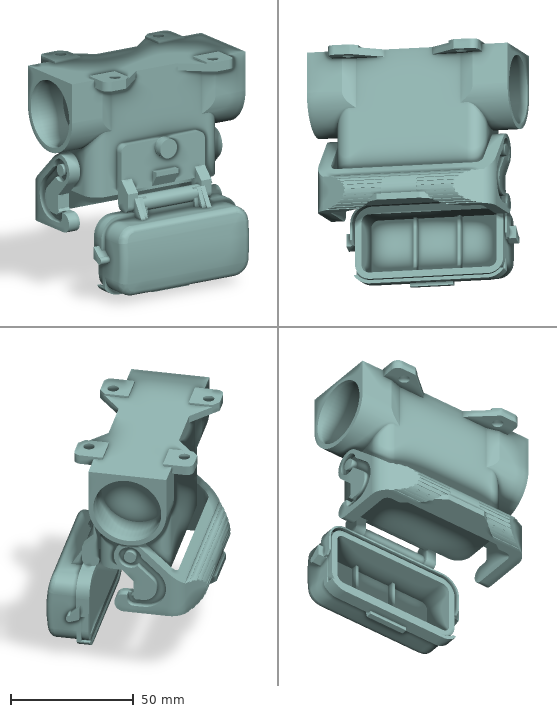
import cadquery as cq
import math


tunnel_length = 85.0
tunnel_radius = 16.25
bore_radius = 14.1
bore_depth = 15.8
tunnel_axis_z = -16.5
housing_half_x = 14.7
housing_half_y = 31.5
housing_bottom = -51.1
housing_corner = 6.5
waist_half_y = 22.1
waist_run_out_y = 27.7

foot_outer_x = 24.9
foot_outer_y = 31.8
foot_inner_x = 12.5
foot_inner_y = 19.1
foot_bevel_y = 22.0
foot_corner = 3.1
foot_top = 0.9
flange_bottom = -3.1
flange_waist_y = 10.0
mount_hole_x = 19.9
mount_hole_y = 24.0
mount_hole_radius = 2.3

pivot_z = -41.3
pivot_radius = 2.5
pivot_eye_radius = 6.7
pivot_boss_radius = 3.3
lever_half_y = 37.5
lever_inner_y = 32.2
lever_inner_x = -18.6
lever_inner_corner = 2.8
lever_slope = math.radians(42.5)
lever_corner = 7.6
lever_corner_x = -16.0
grip_radius = 7.1
grip_x = -22.2
grip_z = -60.0
grip_side_angle = math.radians(58.5)
hook_x = 2.5
hook_radius = 4.0
slot_x = -1.5
slot_chamfer = 0.9
lever_bottom = grip_z - grip_radius
slot_floor = lever_bottom + 2 * hook_radius

channel_depth = 2.6
channel_eye_radius = 4.8
outer_bend_x = -5.6
outer_bend_z = -54.4
outer_bend_radius = 9.5
inner_bend_x = -5.2
inner_bend_z = -54.8
inner_bend_radius = 5.9
channel_end_x = 1.2
channel_end_radius = 2.8

groove_depth = 0.3
groove_pitch = math.radians(15)
groove_count = 11
plate_half_y = 7.4
plate_top = -55.8
tab_top = -62.4
tab_bottom = -65
tab_x = -30.2
tab_half_y = 9.1
tab_slope = 1.4

cover_y = 0.5
hinge_half_y = 20.4
cheek_inner_y = 15.5
barrel_x = 21.2
barrel_z = -54.0
barrel_radius = 3.3
hinge_lip_bottom = -50.8
stop_half_y = 5.5
stop_end_x = 21.8
stop_top = -42.25
stop_edge_z = -44.1
hinge_face_x = 18.7
hinge_top = -29.3
hinge_top_corner = 3.1
hinge_heel_x = 16.25
hinge_heel_z = -48.7
hinge_toe_x = 23.5
hinge_bottom = -57.1
hinge_toe_radius = 3.0
screw_z = -32.8
screw_radius = 4.1
washer_radius = 4.2
washer_end_x = 19.6
screw_end_x = 22.75

cover_half_y = 31.6
cover_top = -59.05
cover_bottom = -88.5
cover_corner = 6.5
cover_back_x = 34.5
cover_bulge = 1.95
cover_back_fillet = 2.8
rim_front_x = 18.4
rim_step_x = 21.45
rim_back_x = 23.3
hood_front_x = 17.7
hood_half_y = 33.2
hood_wall = 0.8
hood_top = -57.2
hood_end = -74.0
hood_side_end = -72.1
hood_corner = 8.4
cavity_half_y = 28.6
cavity_corner = 3.25
cover_wall = 2.7
cover_back_wall = 3.4
lip_bottom = -90.4
lip_thickness = 1.4
lip_top = -86.6
cover_rib_y = 9.3
cover_rib_width = 1.3
cover_rib_height = 2.8
pull_half_y = 9.1
pull_bottom = -91.9
pull_front_x = 21.6
pull_back_x = 24.8
pull_taper = 0.65
lug_half_y = 35.9
lug_top = -68.9
lug_tip_x = 26.9
lug_tip_z = -74.0
lug_tip_radius = 1.5
rim_inset = 0.2
ear_top = -51.1
ear_steps = [
    (17.2, 15.1, 28.5),
    (15.1, 13.3, 27.6),
    (13.3, 11.5, 25.1),
]


def box(x0, x1, y0, y1, z0, z1):
    return cq.Workplane("XY").box(x1 - x0, y1 - y0, z1 - z0, centered=False).translate((x0, y0, z0))


def side_plane(y):
    """XZ sketch plane at y; extruding from it runs toward -Y."""
    return cq.Workplane("XZ", origin=(0, y, 0))


def both_sides(solid, plane="XZ"):
    return solid.union(solid.mirror(plane))


def rounded_block(x0, x1, half_y, z0, z1, radius):
    """Block along X whose four long edges are rounded, centred on the cover."""
    return box(x0, x1, cover_y - half_y, cover_y + half_y, z0, z1).edges("|X").fillet(radius)


def make_housing():
    tunnel = (
        side_plane(tunnel_length / 2)
        .moveTo(-tunnel_radius, 0)
        .lineTo(-tunnel_radius, tunnel_axis_z)
        .threePointArc((0, tunnel_axis_z - tunnel_radius), (tunnel_radius, tunnel_axis_z))
        .lineTo(tunnel_radius, 0)
        .close()
        .extrude(tunnel_length)
    )
    waist_depth = tunnel_radius - housing_half_x
    waist = (
        cq.Workplane("XY")
        .polyline([
            (-tunnel_radius, -waist_run_out_y),
            (-tunnel_radius + waist_depth, -waist_half_y),
            (-tunnel_radius + waist_depth, waist_half_y),
            (-tunnel_radius, waist_run_out_y),
        ])
        .close()
        .extrude(tunnel_axis_z - tunnel_radius)
    )
    tunnel = tunnel.cut(both_sides(waist, "YZ"))
    shell = box(
        -housing_half_x, housing_half_x,
        -housing_half_y, housing_half_y,
        housing_bottom, tunnel_axis_z,
    )
    shell = shell.edges("|Z").fillet(housing_corner)
    bore = side_plane(tunnel_length / 2).center(0, tunnel_axis_z).circle(bore_radius).extrude(bore_depth)
    return tunnel.union(shell).union(make_feet()).cut(both_sides(bore))


def make_feet():
    bevel_slope = (foot_bevel_y - flange_waist_y) / (foot_outer_x - housing_half_x)
    bevel_end_x = foot_outer_x - (foot_bevel_y - foot_inner_y) / bevel_slope
    foot = (
        cq.Workplane("XY", origin=(0, 0, flange_bottom))
        .moveTo(foot_inner_x, foot_inner_y)
        .lineTo(bevel_end_x, foot_inner_y)
        .lineTo(foot_outer_x, foot_bevel_y)
        .lineTo(foot_outer_x, foot_outer_y - foot_corner)
        .radiusArc((foot_outer_x - foot_corner, foot_outer_y), -foot_corner)
        .lineTo(foot_inner_x, foot_outer_y)
        .close()
        .extrude(foot_top - flange_bottom)
    )
    web = (
        cq.Workplane("XY", origin=(0, 0, flange_bottom))
        .polyline([
            (foot_inner_x, flange_waist_y),
            (housing_half_x, flange_waist_y),
            (bevel_end_x, foot_inner_y),
            (foot_inner_x, foot_inner_y),
        ])
        .close()
        .extrude(-flange_bottom)
    )
    hole = (
        cq.Workplane("XY", origin=(mount_hole_x, mount_hole_y, flange_bottom))
        .circle(mount_hole_radius)
        .extrude(foot_top - flange_bottom)
    )
    foot = foot.union(web).cut(hole)
    return both_sides(both_sides(foot), "YZ")


def lever_side_profile():
    """Arms, hook and grip seen along Y, as a solid across the full lever width."""
    width = 2 * lever_half_y
    eye_top_x = -pivot_eye_radius * math.sin(lever_slope)
    eye_top_z = pivot_z + pivot_eye_radius * math.cos(lever_slope)
    eye_low = pivot_eye_radius * math.sqrt(0.5)
    throat_z = pivot_z - eye_low - (eye_low - slot_x)
    arm = (
        side_plane(lever_half_y)
        .moveTo(eye_top_x, eye_top_z)
        .lineTo(grip_x, eye_top_z + (grip_x - eye_top_x) * math.tan(lever_slope))
        .lineTo(grip_x, lever_bottom)
        .lineTo(hook_x, lever_bottom)
        .threePointArc((hook_x + hook_radius, lever_bottom + hook_radius), (hook_x, slot_floor))
        .lineTo(slot_x + slot_chamfer, slot_floor)
        .lineTo(slot_x, slot_floor + slot_chamfer)
        .lineTo(slot_x, throat_z)
        .lineTo(eye_low, pivot_z - eye_low)
        .threePointArc((pivot_eye_radius, pivot_z), (eye_top_x, eye_top_z))
        .close()
        .extrude(width)
    )
    grip = side_plane(lever_half_y).center(grip_x, grip_z).circle(grip_radius).extrude(width)
    return arm.union(grip)


def lever_plan():
    """Lever outline seen along Z: rounded corners running into slanted grip ends."""
    center_y = lever_half_y - lever_corner
    tangent_x = lever_corner_x - lever_corner * math.sin(grip_side_angle)
    tangent_y = center_y + lever_corner * math.cos(grip_side_angle)
    mid_x = lever_corner_x - lever_corner * math.sin(grip_side_angle / 2)
    mid_y = center_y + lever_corner * math.cos(grip_side_angle / 2)
    end_x = grip_x - grip_radius
    end_y = tangent_y - (tangent_x - end_x) * math.tan(grip_side_angle)
    half = (
        cq.Workplane("XY", origin=(0, 0, lever_bottom))
        .moveTo(hook_x + 2 * hook_radius, 0)
        .lineTo(hook_x + 2 * hook_radius, lever_half_y)
        .lineTo(lever_corner_x, lever_half_y)
        .threePointArc((mid_x, mid_y), (tangent_x, tangent_y))
        .lineTo(end_x, end_y)
        .lineTo(end_x, 0)
        .close()
        .extrude(pivot_z + pivot_eye_radius - lever_bottom)
    )
    return both_sides(half)


def spring_channel():
    """Hook-shaped channel sunk into the outer face of the arm at -Y, around the pivot pin."""
    floor_y = channel_depth - lever_half_y
    sin_a = math.sin(lever_slope)
    cos_a = math.cos(lever_slope)
    diagonal = math.sqrt(0.5)

    def bend_points(x, z, radius):
        """Upper, middle and lower points of a bend from the lever slope to the horizontal."""
        upper = (x - radius * sin_a, z + radius * cos_a)
        middle = (x - radius * diagonal, z - radius * diagonal)
        return upper, middle, (x, z - radius)

    def level_with_pivot(point):
        """Point where the straight edge up the slope ends, square across from the pivot."""
        run = -point[0] * cos_a + (pivot_z - point[1]) * sin_a
        return (point[0] + run * cos_a, point[1] + run * sin_a)

    outer_upper, outer_middle, outer_lower = bend_points(outer_bend_x, outer_bend_z, outer_bend_radius)
    inner_upper, inner_middle, inner_lower = bend_points(inner_bend_x, inner_bend_z, inner_bend_radius)
    band = (
        side_plane(floor_y)
        .moveTo(*level_with_pivot(outer_upper))
        .lineTo(*outer_upper)
        .threePointArc(outer_middle, outer_lower)
        .lineTo(channel_end_x - channel_end_radius, outer_lower[1])
        .radiusArc((channel_end_x, outer_lower[1] + channel_end_radius), -channel_end_radius)
        .lineTo(channel_end_x, slot_floor)
        .lineTo(slot_x, slot_floor)
        .lineTo(slot_x, inner_lower[1] + slot_chamfer)
        .lineTo(slot_x - slot_chamfer, inner_lower[1])
        .lineTo(*inner_lower)
        .threePointArc(inner_middle, inner_upper)
        .lineTo(*level_with_pivot(inner_upper))
        .close()
        .extrude(channel_depth)
    )
    eye = side_plane(floor_y).center(0, pivot_z).circle(channel_eye_radius).extrude(channel_depth)
    pin = side_plane(floor_y).center(0, pivot_z).circle(pivot_radius).extrude(channel_depth)
    return band.union(eye).cut(pin)


def grip_grooves():
    """Grooves along Y, fanned around the rounded grip, left out around its smooth middle plate."""
    reach = 2 * grip_radius
    core = (
        side_plane(lever_half_y)
        .center(grip_x, grip_z)
        .circle(grip_radius - groove_depth)
        .extrude(2 * lever_half_y)
    )
    grooves = cq.Workplane("XY")
    for index in range(groove_count):
        middle = math.pi + (index - (groove_count - 1) / 2) * groove_pitch
        edges = (middle - groove_pitch / 4, middle + groove_pitch / 4)
        sector = [(reach * math.cos(angle), reach * math.sin(angle)) for angle in edges]
        wedge = side_plane(lever_half_y).center(grip_x, grip_z).polyline([(0, 0)] + sector).close()
        grooves = grooves.union(wedge.extrude(2 * lever_half_y))
    plate = box(grip_x - grip_radius, grip_x, -plate_half_y, plate_half_y, tab_top, plate_top)
    return grooves.cut(core).cut(plate)


def tab_plan(end_x, bottom, top):
    """Trapezoid that widens from the thumb tab edge back to end_x."""
    end_half_y = tab_half_y + (end_x - tab_x) * tab_slope
    return (
        cq.Workplane("XY", origin=(0, 0, bottom))
        .polyline([(tab_x, -tab_half_y), (end_x, -end_half_y), (end_x, end_half_y), (tab_x, tab_half_y)])
        .close()
        .extrude(top - bottom)
    )


def make_lever():
    opening = box(
        lever_inner_x, hook_x + 2 * hook_radius,
        -lever_inner_y, lever_inner_y,
        lever_bottom, pivot_z + pivot_eye_radius,
    )
    opening = opening.edges("|Z and <X").fillet(lever_inner_corner)
    lever = lever_side_profile().intersect(lever_plan()).cut(opening)
    lever = lever.cut(grip_grooves())
    lever = lever.cut(tab_plan(lever_inner_x, lever_bottom, tab_bottom))
    lever = lever.union(tab_plan(grip_x, tab_bottom, tab_top))
    lever = lever.cut(both_sides(spring_channel()))
    boss = side_plane(-housing_half_y).center(0, pivot_z).circle(pivot_boss_radius)
    boss = boss.extrude(lever_inner_y - housing_half_y)
    return lever.union(both_sides(boss))


def hinge_base():
    """Mounting plate on the housing with a cheek at each end; the gap between takes the barrel."""
    slope_top = hinge_heel_z + hinge_toe_x - hinge_face_x
    base = (
        side_plane(cover_y + hinge_half_y)
        .polyline([
            (housing_half_x, hinge_top),
            (hinge_face_x, hinge_top),
            (hinge_face_x, slope_top),
            (hinge_toe_x, hinge_heel_z),
            (hinge_toe_x, hinge_bottom),
            (hinge_heel_x, hinge_bottom),
            (hinge_heel_x, hinge_heel_z),
            (housing_half_x, hinge_heel_z),
        ])
        .close()
        .extrude(2 * hinge_half_y)
    )
    base = base.edges("|X and >Z").fillet(hinge_top_corner)
    base = base.edges("|Y and <Z").fillet(hinge_toe_radius)
    gap_y0 = cover_y - cheek_inner_y
    gap_y1 = cover_y + cheek_inner_y
    base = base.cut(box(hinge_face_x, hinge_toe_x, gap_y0, gap_y1, hinge_bottom, hinge_top))
    base = base.cut(box(hinge_heel_x, hinge_face_x, gap_y0, gap_y1, hinge_bottom, hinge_heel_z))
    lip = box(housing_half_x, hinge_heel_x, gap_y0, gap_y1, hinge_lip_bottom, hinge_heel_z)
    return base.union(lip)


def make_hinge():
    barrel = (
        side_plane(cover_y + cheek_inner_y)
        .center(barrel_x, barrel_z)
        .circle(barrel_radius)
        .extrude(2 * cheek_inner_y)
    )
    stop = (
        side_plane(cover_y + stop_half_y)
        .polyline([
            (hinge_face_x, stop_top),
            (stop_end_x, stop_top),
            (stop_end_x, stop_edge_z),
            (hinge_face_x, hinge_heel_z),
        ])
        .close()
        .extrude(2 * stop_half_y)
    )
    screw_plane = cq.Workplane("YZ", origin=(hinge_face_x, cover_y, screw_z))
    washer = screw_plane.circle(washer_radius).extrude(washer_end_x - hinge_face_x)
    head = screw_plane.circle(screw_radius).extrude(screw_end_x - hinge_face_x)
    return hinge_base().union(barrel).union(stop).union(washer).union(head)


def cover_shell():
    """Closed shell with a slightly domed back face."""
    mid_z = (cover_top + cover_bottom) / 2
    shell = (
        side_plane(cover_y + cover_half_y)
        .moveTo(rim_step_x, cover_top)
        .lineTo(cover_back_x, cover_top)
        .threePointArc((cover_back_x + cover_bulge, mid_z), (cover_back_x, cover_bottom))
        .lineTo(rim_step_x, cover_bottom)
        .close()
        .extrude(2 * cover_half_y)
    )
    return shell.edges("|X").fillet(cover_corner).faces(">X").edges().fillet(cover_back_fillet)


def cover_cavity():
    """Cavity open toward the housing, with two upright ribs left standing on its back wall."""
    back_x = cover_back_x + cover_bulge - cover_back_wall
    cavity = rounded_block(
        hood_front_x, back_x, cavity_half_y, cover_bottom + cover_wall, cover_top - cover_wall, cavity_corner
    )
    for side in (-1, 1):
        y = cover_y + side * cover_rib_y - cover_rib_width / 2
        rib = box(back_x - cover_rib_height, back_x, y, y + cover_rib_width, cover_bottom, cover_top)
        cavity = cavity.cut(rib)
    return cavity


def cover_hood():
    """Thin collar around the upper rim, spaced off it and cut obliquely at its lower ends."""
    drop = hood_side_end - hood_end
    collar = rounded_block(hood_front_x, rim_back_x, hood_half_y, lip_bottom, hood_top, hood_corner)
    gap = rounded_block(
        hood_front_x, rim_step_x, hood_half_y - hood_wall, lip_bottom, hood_top - hood_wall,
        hood_corner - hood_wall,
    )
    upper = (
        side_plane(cover_y + hood_half_y)
        .polyline([
            (hood_front_x, hood_top),
            (rim_back_x, hood_top),
            (rim_back_x, hood_end),
            (hood_front_x + drop, hood_end),
            (hood_front_x, hood_side_end),
        ])
        .close()
        .extrude(2 * hood_half_y)
    )
    return collar.cut(gap).intersect(upper)


def cover_lip():
    """Flange behind the rim and the lip below it, in line with the hood but trimmed to the cover width."""
    collar = rounded_block(hood_front_x, rim_back_x, hood_half_y, lip_bottom, hood_top, hood_corner)
    pocket = rounded_block(
        hood_front_x, rim_step_x, hood_half_y - lip_thickness, lip_bottom + lip_thickness, hood_top,
        hood_corner - lip_thickness,
    )
    trim = box(
        hood_front_x, rim_back_x, cover_y - cover_half_y, cover_y + cover_half_y, lip_bottom, cover_top
    )
    front_trim = box(
        hood_front_x, rim_step_x, cover_y - cover_half_y, cover_y + cover_half_y, lip_top, cover_top
    )
    return collar.cut(pocket).intersect(trim).cut(front_trim)


def cover_lugs():
    """Slanted lugs on both ends of the cover; one bar through both walls, opened by the cavity."""
    return (
        side_plane(cover_y + lug_half_y)
        .moveTo(rim_step_x, lug_top)
        .lineTo(lug_tip_x - lug_tip_radius, lug_tip_z + lug_tip_radius)
        .threePointArc((lug_tip_x, lug_tip_z), (lug_tip_x - lug_tip_radius, lug_tip_z - lug_tip_radius))
        .lineTo(rim_step_x, hood_end)
        .close()
        .extrude(2 * lug_half_y)
    )


def cover_ears():
    """Stepped gussets that join the cover to the hinge base, thinning toward the middle."""
    ears = cq.Workplane("XY")
    for y_outer, y_inner, end_x in ear_steps:
        gusset = (
            side_plane(cover_y + y_outer)
            .polyline([
                (rim_step_x, ear_top),
                (hinge_toe_x, ear_top),
                (end_x, cover_top),
                (end_x, cover_top - cover_wall),
                (rim_step_x, cover_top - cover_wall),
            ])
            .close()
            .extrude(y_outer - y_inner)
        )
        far_gusset = gusset.translate((0, -y_outer - y_inner, 0))
        ears = ears.union(gusset).union(far_gusset)
    return ears


def make_cover():
    rim_half_y = cover_half_y - rim_inset
    rim = rounded_block(rim_front_x, rim_step_x, rim_half_y, cover_bottom, cover_top, cover_corner)
    pull = (
        side_plane(cover_y + pull_half_y)
        .polyline([
            (pull_front_x, cover_bottom + cover_wall),
            (pull_back_x, cover_bottom + cover_wall),
            (pull_back_x, cover_bottom - pull_taper),
            (pull_back_x - pull_taper, pull_bottom),
            (pull_front_x, pull_bottom),
        ])
        .close()
        .extrude(2 * pull_half_y)
    )
    cover = cover_shell().union(rim).union(cover_lip()).union(cover_hood())
    cover = cover.union(cover_lugs()).union(pull).union(cover_ears())
    return cover.cut(cover_cavity())


result = make_housing().union(make_lever()).union(make_hinge()).union(make_cover())